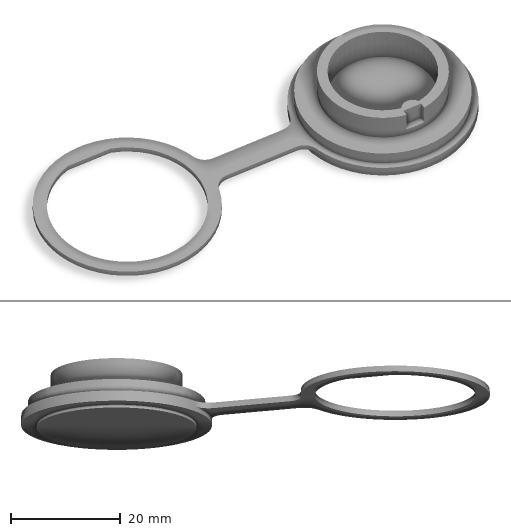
import cadquery as cq
import math

pad_top = 0.5
strap_bottom = 1.4
flange_top = 2.5
step_top = 5.0
cap_top = 10.0
bore_floor = 3.5

pad_radius = 14.6
flange_radius = 17.4
step_radius = 16.2
collar_radius = 12.0
bore_radius = 10.1

rib_radius = 2.0
rib_centre_x = 10.9
notch_back_x = 10.7
notch_width = 3.7
notch_bottom = 6.3

overall_length = 88.5
ring_radius = 17.3
ring_hole_radius = 14.7
ring_flat_x = 14.0
strap_width = 5.05
strap_fillet = 3.0
ring_centre_y = flange_radius + ring_radius - overall_length


def disc(radius, bottom, top):
    """Upright cylinder on the cap axis between two levels."""
    return cq.Workplane("XY").workplane(offset=bottom).circle(radius).extrude(top - bottom)


def make_collar():
    """Round wall with the inner rib and the outer notch."""
    depth = cap_top - bore_floor
    rib = (
        cq.Workplane("XY", origin=(rib_centre_x, 0, bore_floor))
        .circle(rib_radius)
        .extrude(depth)
        .intersect(disc(collar_radius, bore_floor, cap_top))
    )
    notch = cq.Workplane("XY", origin=(notch_back_x, 0, notch_bottom)).box(
        collar_radius, notch_width, cap_top - notch_bottom, centered=(False, True, False)
    )
    wall = disc(collar_radius, bore_floor, cap_top).cut(disc(bore_radius, bore_floor, cap_top))
    return wall.union(rib).cut(notch)


def make_cap():
    """Stepped disc with the hollow collar on top."""
    body = disc(pad_radius, 0, pad_top)
    body = body.union(disc(flange_radius, pad_top, flange_top))
    body = body.union(disc(step_radius, flange_top, step_top))
    return body.cut(disc(bore_radius, bore_floor, step_top)).union(make_collar())


def root_flare(centre_y, radius, direction):
    """Flat outline flaring the strap tangentially into a circle, towards +Y or -Y."""
    half_width = strap_width / 2
    fillet_x = half_width + strap_fillet
    fillet_dy = math.sqrt((radius + strap_fillet) ** 2 - fillet_x**2)
    fillet_y = centre_y + direction * fillet_dy
    touch_ratio = radius / (radius + strap_fillet)
    touch_x = fillet_x * touch_ratio
    touch_y = centre_y + direction * fillet_dy * touch_ratio
    to_strap = -1.0
    to_circle_x = -fillet_x / (radius + strap_fillet)
    to_circle_y = -direction * fillet_dy / (radius + strap_fillet)
    length = math.hypot(to_strap + to_circle_x, to_circle_y)
    mid_x = fillet_x + strap_fillet * (to_strap + to_circle_x) / length
    mid_y = fillet_y + strap_fillet * to_circle_y / length
    return (
        cq.Workplane("XY", origin=(0, 0, strap_bottom))
        .moveTo(-half_width, fillet_y)
        .lineTo(half_width, fillet_y)
        .threePointArc((mid_x, mid_y), (touch_x, touch_y))
        .lineTo(-touch_x, touch_y)
        .threePointArc((-mid_x, mid_y), (-half_width, fillet_y))
        .close()
        .extrude(flange_top - strap_bottom)
    )


def make_tether():
    """Strap and ring, with one flat on the -X side of the ring hole."""
    thickness = flange_top - strap_bottom
    ring_plane = cq.Workplane("XY", origin=(0, ring_centre_y, strap_bottom))
    ring = ring_plane.circle(ring_radius).extrude(thickness)
    strap = cq.Workplane("XY", origin=(0, ring_centre_y, strap_bottom)).box(
        strap_width, -ring_centre_y, thickness, centered=(True, False, False)
    )
    hole_limits = ring_plane.center(-ring_flat_x, 0).box(
        ring_flat_x + ring_radius, 2 * ring_radius, thickness, centered=(False, True, False)
    )
    hole = ring_plane.circle(ring_hole_radius).extrude(thickness).intersect(hole_limits)
    tether = ring.union(strap)
    tether = tether.union(root_flare(0, flange_radius, -1))
    tether = tether.union(root_flare(ring_centre_y, ring_radius, 1))
    return tether.cut(hole)


result = make_cap().union(make_tether())